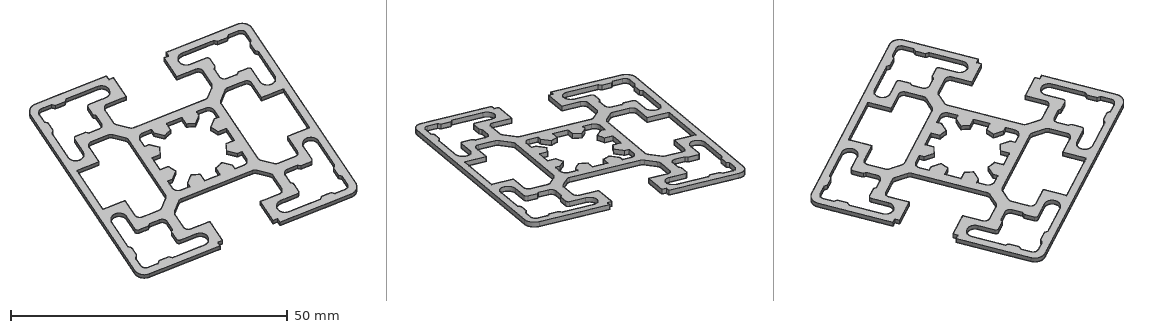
import cadquery as cq
import math

side = 45.0
half_side = side / 2
thickness = 1.0
corner_radius = 2.0
outer_wall = 1.5

neck_half_width = 5.15
lip_depth = 6.0
chamber_half_width = 10.0
chamber_radius = 1.0
chamber_bend_radius = 1.0
lip_step = 0.95

core_half_width = 9.4
web_thickness = 2.48

opening_half_width = 7.55
opening_radius = 1.2
bore_radius = 6.05
tooth_start = 1.58
tooth_end = 4.6
diagonal_slot_width = 2.9

arm_depth = 4.5
arm_end = 15.4
pocket_waist = 10.1
pocket_depth = 10.5
waist_end = 7.0
pocket_outer_radius = 1.0
pocket_inner_radius = 1.0
pocket_lip_radius = 0.55

pad_center = 6.0
pad_top_width = 2.0
pad_height = 0.5


def block(x_min, x_max, y_min, y_max):
    """Full-thickness rectangular block between the given limits."""
    return (
        cq.Workplane("XY")
        .box(x_max - x_min, y_max - y_min, thickness, centered=False)
        .translate((x_min, y_min, 0))
    )


def prism(points):
    """Full-thickness prism on a closed polygon."""
    return cq.Workplane("XY").polyline(points).close().extrude(thickness)


def rounded_square(width, radius):
    """Full-thickness square about the central axis, with rounded corners."""
    return cq.Workplane("XY").rect(width, width).extrude(thickness).edges("|Z").fillet(radius)


def round_corners(body, points, radius):
    """Fillet the vertical edges that stand at the given points."""
    for x, y in points:
        edge = cq.selectors.NearestToPointSelector((x, y, thickness / 2))
        body = body.edges("|Z").edges(edge).fillet(radius)
    return body


def turned(body, angle):
    """Body turned about the part's central axis."""
    return body.rotate((0, 0, 0), (0, 0, 1), angle)


def swapped(points):
    """Points mirrored about the corner diagonal, in reverse order."""
    return [(y, x) for x, y in reversed(points)]


def across_diagonal(body):
    """Body mirrored across the vertical plane x = y."""
    return turned(body.mirror("YZ"), -90)


def slot_chamber():
    """Wide part of the +Y T-slot, with floor corners cut along the webs."""
    web_offset = web_thickness / math.sqrt(2)
    lip_y = half_side - lip_depth
    floor_x = core_half_width - web_offset
    flank_y = chamber_half_width + web_offset
    lip_corners = [(chamber_half_width, lip_y), (-chamber_half_width, lip_y)]
    web_bends = [
        (-chamber_half_width, flank_y),
        (-floor_x, core_half_width),
        (floor_x, core_half_width),
        (chamber_half_width, flank_y),
    ]
    chamber = prism(lip_corners + web_bends)
    chamber = round_corners(chamber, lip_corners, chamber_radius)
    return round_corners(chamber, web_bends, chamber_bend_radius)


def closed_slot():
    """T-slot whose neck stops at the outer wall."""
    neck = block(-neck_half_width, neck_half_width, core_half_width, half_side - outer_wall)
    return slot_chamber().union(neck)


def open_slot():
    """T-slot whose neck runs out through a shallow, wider step in the lips."""
    neck = block(-neck_half_width, neck_half_width, core_half_width, half_side)
    step_half_width = neck_half_width + lip_step
    step = block(-step_half_width, step_half_width, half_side - lip_step, half_side)
    return slot_chamber().union(neck).union(step)


def pocket_arm():
    """Round-ended arm of a corner pocket along the first outer wall."""
    end_radius = (arm_depth - outer_wall) / 2
    end_center = arm_end - end_radius
    straight = block(pad_center, end_center, outer_wall, arm_depth)
    round_end = (
        cq.Workplane("XY")
        .center(end_center, outer_wall + end_radius)
        .circle(end_radius)
        .extrude(thickness)
    )
    return straight.union(round_end)


def wall_pad():
    """Raised pad on the first outer wall of a corner pocket."""
    half_top = pad_top_width / 2
    half_base = half_top + pad_height
    top = outer_wall + pad_height
    return prism([
        (pad_center - half_base, outer_wall),
        (pad_center + half_base, outer_wall),
        (pad_center + half_top, top),
        (pad_center - half_top, top),
    ])


def corner_pocket():
    """Pocket of the (-X, -Y) corner."""
    outer_corner = (outer_wall, outer_wall)
    inner_corner = (pocket_depth, pocket_depth)
    flank = [
        (pocket_waist, outer_wall),
        (pocket_waist, waist_end),
        (pocket_depth, waist_end + pocket_depth - pocket_waist),
    ]
    pocket = prism([outer_corner] + flank + [inner_corner] + swapped(flank))
    pocket = round_corners(pocket, [outer_corner], pocket_outer_radius)
    pocket = round_corners(pocket, [inner_corner], pocket_inner_radius)
    pocket = pocket.union(pocket_arm()).union(across_diagonal(pocket_arm()))
    lips = [(pocket_waist, arm_depth), (arm_depth, pocket_waist)]
    pocket = round_corners(pocket, lips, pocket_lip_radius)
    pocket = pocket.cut(wall_pad()).cut(across_diagonal(wall_pad()))
    return pocket.translate((-half_side, -half_side, 0))


def core_opening():
    """Square opening of the core, less its ring of trimmed teeth."""
    opening = rounded_square(2 * opening_half_width, opening_radius)

    tooth_pair = block(tooth_start, tooth_end, 0, opening_half_width).union(
        block(-tooth_end, -tooth_start, 0, opening_half_width)
    )
    trim = cq.Workplane("XY").circle(bore_radius).extrude(thickness)
    for angle in (45, 135):
        slot = cq.Workplane("XY").rect(side, diagonal_slot_width).extrude(thickness)
        trim = trim.union(turned(slot, angle))
    teeth = tooth_pair.cut(trim)
    for quarter in range(4):
        opening = opening.cut(turned(teeth, 90 * quarter))
    return opening


result = rounded_square(side, corner_radius)
for angle in (0, 180):
    result = result.cut(turned(closed_slot(), angle))
    result = result.cut(turned(open_slot(), angle + 90))
for quarter in range(4):
    result = result.cut(turned(corner_pocket(), 90 * quarter))
result = result.cut(core_opening())